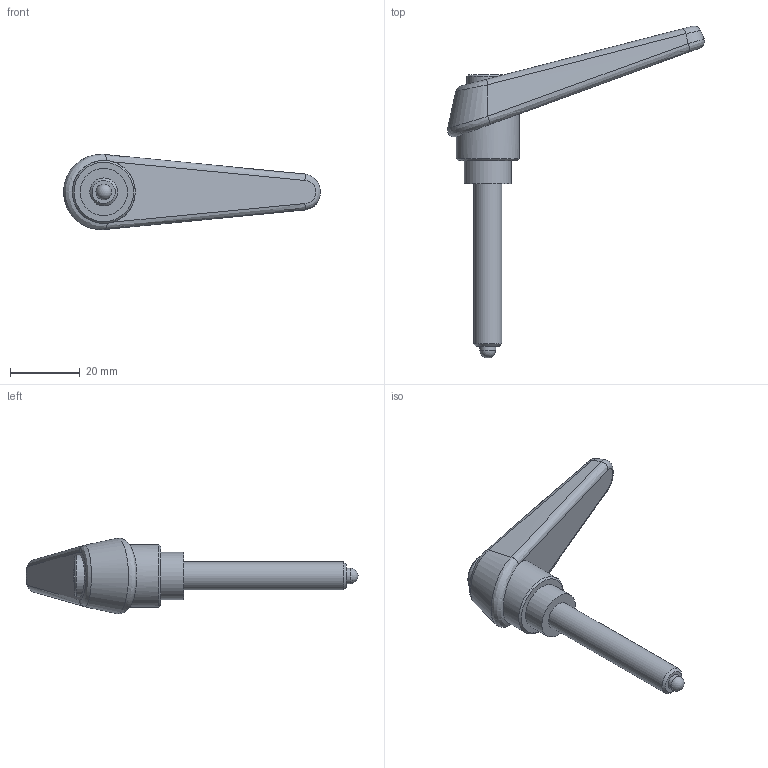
import cadquery as cq
import math


HUB_RADIUS = 9.0
HUB_CHAMFER = 0.5
CONE_RADIUS = 11.3
CONE_DRAFT = 12.3
LOWER_HEIGHT = 10.1
LOWER_TILT = 20.0
UPPER_HEIGHT = 23.3
UPPER_TILT = 14.5
LOWER_TIP_X = 57.8
LOWER_TIP_HALF_WIDTH = 5.6
UPPER_TIP_X = 56.3
UPPER_TIP_HALF_WIDTH = 4.3
EDGE_FILLET = 2.0

HEAD_RADIUS = 6.0
HEAD_TOP = 24.55
HEAD_CHAMFER = 0.5
COLLAR_RADIUS = 6.75
COLLAR_LENGTH = 6.6
SHANK_RADIUS = 4.0
SHANK_LENGTH = 46.5
SHANK_CHAMFER = 0.7
PIN_RADIUS = 2.25
PIN_LENGTH = 3.35


def cylinder(radius, bottom, top):
    """Cylinder on the Y axis between two heights."""
    base = cq.Workplane("XZ", origin=(0, bottom, 0))
    return base.circle(radius).extrude(bottom - top)


def lever_outline(height, tilt, tip_x, tip_half_width):
    """Wire on a tilted face: the cone's elliptical section, two straight sides and a round tip."""
    tilt = math.radians(tilt)
    draft = math.tan(math.radians(CONE_DRAFT))
    axis_radius = CONE_RADIUS - (height - LOWER_HEIGHT) * draft

    skew = draft * math.tan(tilt)
    center = -axis_radius * skew / (1 - skew**2) / math.cos(tilt)
    semi_width = axis_radius / math.sqrt(1 - skew**2)
    semi_length = axis_radius / (1 - skew**2) / math.cos(tilt)

    tip_start = tip_x / math.cos(tilt)
    side_angle = math.atan((axis_radius - tip_half_width) / tip_start)
    tip_end = tip_start + tip_half_width * math.tan(math.pi / 4 - side_angle / 2)

    face = cq.Plane(
        origin=(0, height, 0),
        xDir=(math.cos(tilt), math.sin(tilt), 0),
        normal=(-math.sin(tilt), math.cos(tilt), 0),
    )

    def on_face(along, across):
        return face.toWorldCoords((along, across))

    join_angle = math.degrees(math.acos(-center / semi_length))
    hub_end = cq.Edge.makeEllipse(
        semi_length, semi_width, on_face(center, 0), face.zDir, face.xDir, join_angle, 360 - join_angle
    )
    top_start = on_face(0, -axis_radius)
    top_end = on_face(tip_start, -tip_half_width)
    bottom_end = on_face(tip_start, tip_half_width)
    bottom_start = on_face(0, axis_radius)
    top_side = cq.Edge.makeLine(top_start, top_end)
    tip = cq.Edge.makeThreePointArc(top_end, on_face(tip_end, 0), bottom_end)
    bottom_side = cq.Edge.makeLine(bottom_end, bottom_start)
    return cq.Wire.assembleEdges([top_side, tip, bottom_side, hub_end])


def make_lever():
    lower = lever_outline(LOWER_HEIGHT, LOWER_TILT, LOWER_TIP_X, LOWER_TIP_HALF_WIDTH)
    upper = lever_outline(UPPER_HEIGHT, UPPER_TILT, UPPER_TIP_X, UPPER_TIP_HALF_WIDTH)
    lever = cq.Workplane(cq.Solid.makeLoft([lower, upper], True))
    lever = lever.faces("%PLANE").faces("<Y").edges().fillet(EDGE_FILLET)
    return lever.faces("%PLANE").faces(">Y").edges().fillet(EDGE_FILLET)


def make_handle():
    hub_top = (LOWER_HEIGHT + UPPER_HEIGHT) / 2
    hub = cylinder(HUB_RADIUS, 0, hub_top).faces("<Y").chamfer(HUB_CHAMFER)
    bore_top = 2 * UPPER_HEIGHT
    bore = cylinder(HEAD_RADIUS, 0, bore_top)
    return make_lever().union(hub).cut(bore)


def make_stud():
    shank_end = -COLLAR_LENGTH - SHANK_LENGTH
    pin_end = shank_end - PIN_LENGTH
    head = cylinder(HEAD_RADIUS, 0, HEAD_TOP).faces(">Y").chamfer(HEAD_CHAMFER)
    collar = cylinder(COLLAR_RADIUS, -COLLAR_LENGTH, 0)
    shank = cylinder(SHANK_RADIUS, shank_end, -COLLAR_LENGTH).faces("<Y").chamfer(SHANK_CHAMFER)
    nose = cq.Workplane("XY", origin=(0, pin_end + PIN_RADIUS, 0)).sphere(PIN_RADIUS)
    pin = cylinder(PIN_RADIUS, pin_end + PIN_RADIUS, shank_end).union(nose)
    return head.union(collar).union(shank).union(pin)


handle = make_handle()
stud = make_stud()

result = cq.Compound.makeCompound([handle.val(), stud.val()])